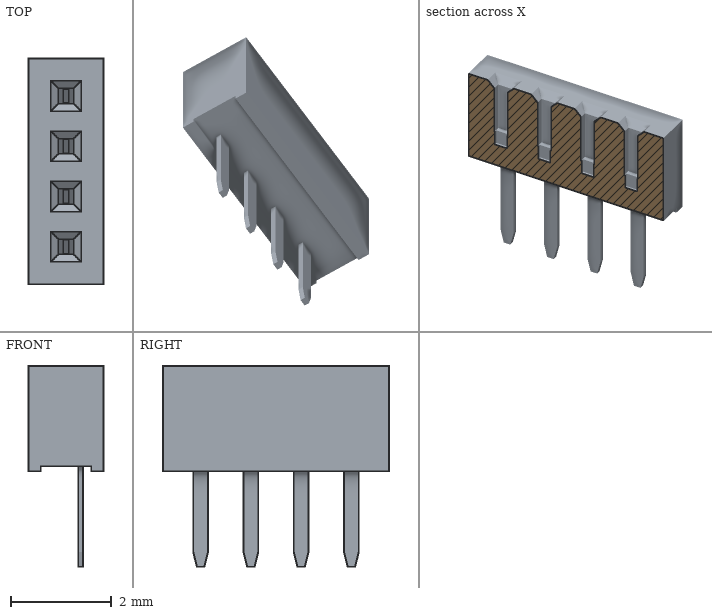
import cadquery as cq


contact_count = 4
pitch = 1.0

overall_height = 4.0
body_width = 1.5
body_height = 2.1
end_margin = 0.75
body_length = (contact_count - 1) * pitch + 2 * end_margin

channel_width = 1.0
channel_depth = 0.1

socket_mouth = 0.6
socket_bore = 0.3
funnel_depth = (socket_mouth - socket_bore) / 2
socket_depth = 1.2
slot_width = 0.11
slot_length = 0.27
slot_depth = 0.3

pin_thickness = 0.1
pin_width = 0.3
pin_offset_x = 0.29
tip_width = 0.15
tip_length = 0.3

pin_bottom = body_height - overall_height

contact_positions = [(i - (contact_count - 1) / 2) * pitch for i in range(contact_count)]


def make_housing():
    """Rectangular block with a channel running the full length of its underside."""
    block = cq.Workplane("XY").box(body_width, body_length, body_height, centered=(True, True, False))
    channel = cq.Workplane("XY").box(channel_width, body_length, channel_depth, centered=(True, True, False))
    return block.cut(channel)


def make_socket(y):
    """Void of one socket: tapered mouth, square bore and a narrow slot in the bore floor."""
    top = cq.Workplane("XY", origin=(0, y, body_height))
    funnel = (
        top.rect(socket_mouth, socket_mouth)
        .workplane(offset=-funnel_depth)
        .rect(socket_bore, socket_bore)
        .loft(ruled=True)
    )
    bore = (
        top.workplane(offset=-funnel_depth)
        .rect(socket_bore, socket_bore)
        .extrude(funnel_depth - socket_depth)
    )
    slot = (
        top.workplane(offset=-socket_depth)
        .rect(slot_width, slot_length)
        .extrude(-slot_depth)
    )
    return funnel.union(bore).union(slot)


def make_pin(y):
    """Flat solder pin with a tip that narrows in Y, hanging from the channel ceiling."""
    shoulder = pin_bottom + tip_length
    outline = [
        (y - pin_width / 2, channel_depth),
        (y - pin_width / 2, shoulder),
        (y - tip_width / 2, pin_bottom),
        (y + tip_width / 2, pin_bottom),
        (y + pin_width / 2, shoulder),
        (y + pin_width / 2, channel_depth),
    ]
    plane = cq.Workplane("YZ", origin=(pin_offset_x, 0, 0))
    return plane.polyline(outline).close().extrude(pin_thickness / 2, both=True)


result = make_housing()
for contact_y in contact_positions:
    result = result.cut(make_socket(contact_y))
    result = result.union(make_pin(contact_y))